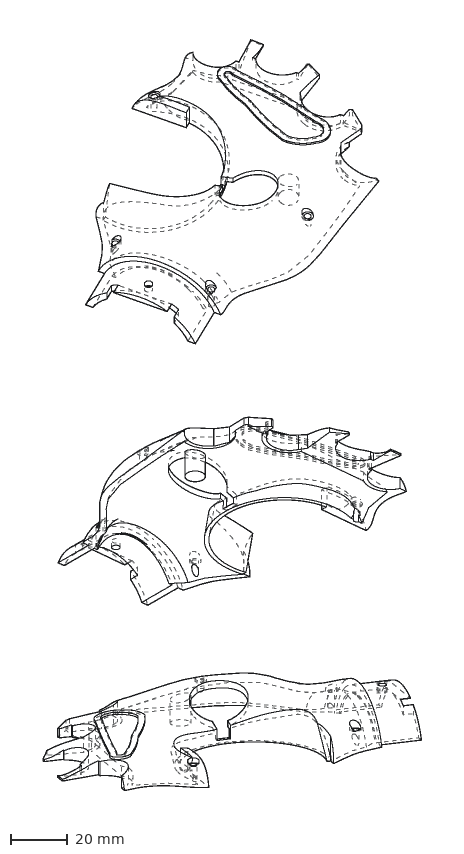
import cadquery as cq

WRIST_AXIS_Z = -8.0
SLEEVE_RADIUS = 22.8
SLEEVE_BORE = 20.1
COLLAR_RADIUS = 25.0
SLEEVE_LENGTH = 15.9
SLEEVE_OVERLAP = 0.7
PIN_HOLE_RADIUS = 1.5
PIN_HOLE_Y = 6.7
NOTCH_CENTERS = (-11.7, 11.7)
NOTCH_WIDTH = 2.7
NOTCH_DEPTH = 3.8
TONGUE_FLAT_Z = 12.1

WALL = 2.7
HAND_LENGTH = 134.7
HEADROOM = 53.9
SIDE_LIMIT = 53.9

SECTIONS = [
    (20.9, [(-25.0, 0), (-21.4, 7.1), (-12.8, 13.6), (0, 16.3), (12.5, 13.9), (20.7, 7.3), (24.3, 0)]),
    (27.0, [(-27.4, 0), (-23.2, 7.3), (-14.0, 12.4), (0, 14.5), (14.0, 13.1), (22.4, 7.5), (26.3, 0)]),
    (32.3, [(-30.7, 0), (-27.0, 7.8), (-17.5, 12.4), (0, 13.5), (16.8, 13.2), (27.0, 7.5), (30.9, 0)]),
    (38.3, [(-35.0, 0), (-31.5, 9.7), (-21.5, 14.3), (0, 13.2), (18.9, 14.8), (31.7, 8.9), (36.4, 0)]),
    (43.7, [(-37.7, 0), (-34.4, 13.5), (-24.3, 16.0), (0, 13.0), (21.5, 16.0), (35.0, 10.0), (40.3, 0)]),
    (53.9, [(-40.4, 0), (-35.0, 9.4), (-21.5, 11.6), (0, 10.8), (23.6, 16.0), (37.7, 11.3), (43.5, 0)]),
    (67.4, [(-43.1, 0), (-37.7, 4.3), (-21.5, 5.7), (0, 6.2), (23.6, 15.1), (39.1, 10.8), (45.0, 0)]),
    (78.1, [(-43.1, 0), (-39.1, 4.6), (-22.9, 6.2), (0, 6.7), (24.3, 12.4), (39.7, 9.0), (46.3, 0)]),
    (90.3, [(-44.3, 0), (-40.4, 6.6), (-24.3, 8.4), (0, 8.5), (24.3, 8.8), (40.4, 6.6), (47.8, 0)]),
    (101.0, [(-38.3, 0), (-35.0, 5.8), (-21.5, 7.7), (0, 8.1), (21.5, 7.1), (37.7, 5.1), (49.0, 0)]),
    (113.2, [(-36.4, 0), (-33.7, 4.5), (-20.2, 6.2), (0, 6.6), (21.5, 5.0), (37.7, 3.1), (49.0, 0)]),
    (124.0, [(-35.3, 0), (-33.1, 3.2), (-20.2, 4.3), (0, 4.3), (21.5, 2.8), (37.7, 1.8), (49.0, 0)]),
    (134.7, [(-35.3, 0), (-33.1, 0.7), (-20.2, 0.8), (0, 0.8), (21.5, 0.7), (37.7, 0.5), (49.0, 0)]),
]
CAVITY_END_Y = 113.2

FINGER_CENTERS = [(-26.8, 121.4), (-5.5, 128.3), (17.2, 117.1), (40.5, 99.8)]
FINGER_RADIUS = 8.2
FINGER_WALL = 1.6

THUMB_CENTER = (-26.1, 65.2)
THUMB_RADIUS = 25.5
THUMB_WALL = 1.6
THUMB_LEAN = 14.0
THUMB_LIP_X = -32.0
THUMB_LIP_Y = 38.4

PALM_HOLE_CENTER = (12.5, 63.6)
PALM_HOLE_RADIUS = 10.4
BREAK_Y = (64.1, 69.3)
BREAK_BOTTOM = 1.6

POST_POINT = (23.2, 74.0)
POST_RADIUS = 3.6
POST_BOTTOM = 1.3

PLATE_Y = (88.9, 91.6)
PLATE_X = (-44.9, -23.5)

SCREW_POINTS = [(-37.3, 92.0), (36.5, 61.3), (-21.3, 24.9), (18.7, 18.9)]
SCREW_RADIUS = 1.2
HEAD_RADIUS = 2.0
HEAD_DEPTH = 1.3

RIDGE_WIDTH = 2.4
RIDGE_HEIGHT = 0.8


def half_disc_points(radius):
    """Seven points along the part of the wrist circle above the parting plane."""
    reach = (radius**2 - WRIST_AXIS_Z**2) ** 0.5
    points = []
    for share in (-1, -0.85, -0.5, 0, 0.5, 0.85, 1):
        x = share * reach
        points.append((x, (radius**2 - x**2) ** 0.5 + WRIST_AXIS_Z))
    return points


def section_wire(y, points):
    """Closed section at one station: a curved crown closed by a straight base."""
    crown = cq.Edge.makeSpline([cq.Vector(x, y, z) for x, z in points])
    base = cq.Edge.makeLine(crown.endPoint(), crown.startPoint())
    return cq.Wire.assembleEdges([crown, base])


def shrink(points, wall):
    """Section points moved inward by the wall thickness."""
    left, right = points[0][0], points[-1][0]
    middle = (left + right) / 2
    ratio = 1 - 2 * wall / (right - left)
    return [(middle + (x - middle) * ratio, z - wall) for x, z in points]


def make_outer():
    stations = [(SLEEVE_LENGTH, half_disc_points(COLLAR_RADIUS))] + SECTIONS
    return cq.Workplane(cq.Solid.makeLoft([section_wire(y, p) for y, p in stations]))


def make_cavity():
    collar = shrink(half_disc_points(COLLAR_RADIUS), COLLAR_RADIUS - SLEEVE_BORE)
    wires = [section_wire(SLEEVE_LENGTH, collar)]
    for y, points in SECTIONS:
        if y <= CAVITY_END_Y:
            wires.append(section_wire(y, shrink(points, WALL)))
    return cq.Workplane(cq.Solid.makeLoft(wires, ruled=True))


def prism(x_range, y_range, z_range):
    size = [high - low for low, high in (x_range, y_range, z_range)]
    corner = (x_range[0], y_range[0], z_range[0])
    return cq.Workplane("XY").box(*size, centered=False).translate(corner)


def pillars(points, radius, bottom=0.0):
    """Upright cylinders of one radius at the given plan points."""
    return cq.Workplane("XY").workplane(offset=bottom).pushPoints(points).circle(radius).extrude(HEADROOM)


def thumb_cylinder(radius):
    """Leaning cylinder centred on the thumb opening, long enough to pass through the shell."""
    cylinder = cq.Workplane("XY").workplane(offset=-HEADROOM).circle(radius).extrude(2 * HEADROOM)
    return cylinder.rotate((0, 0, 0), (1, 0, 0), -THUMB_LEAN).translate(THUMB_CENTER)


def make_outline():
    """Plan outline with the prongs between the fingers and the thumb side."""
    return (
        cq.Workplane("XY")
        .moveTo(-SIDE_LIMIT, SLEEVE_LENGTH)
        .lineTo(SIDE_LIMIT, SLEEVE_LENGTH)
        .lineTo(SIDE_LIMIT, 95.3)
        .lineTo(33.4, 95.3)
        .lineTo(31.1, 100.8)
        .lineTo(34.1, 111.7)
        .lineTo(33.4, 113.3)
        .lineTo(27.4, 118.7)
        .lineTo(26.3, 118.3)
        .lineTo(26.0, 114.0)
        .lineTo(9.8, 113.5)
        .lineTo(8.1, 116.3)
        .lineTo(9.5, 129.5)
        .lineTo(3.9, 133.1)
        .lineTo(3.1, 132.8)
        .lineTo(3.1, 125.7)
        .lineTo(-14.7, 125.7)
        .lineTo(-14.7, HAND_LENGTH)
        .lineTo(-19.7, HAND_LENGTH)
        .lineTo(-17.5, 120.3)
        .lineTo(-19.1, 120.2)
        .lineTo(-34.1, 118.0)
        .lineTo(-SIDE_LIMIT, 118.0)
        .lineTo(-SIDE_LIMIT, PLATE_Y[0])
        .lineTo(PLATE_X[1], PLATE_Y[0])
        .lineTo(PLATE_X[1], THUMB_CENTER[1])
        .lineTo(THUMB_LIP_X, THUMB_CENTER[1])
        .lineTo(THUMB_LIP_X, THUMB_LIP_Y)
        .lineTo(-SIDE_LIMIT, THUMB_LIP_Y)
        .close()
        .extrude(HEADROOM)
    )


def surface_height(outer, x, y):
    """Height of the outer surface above a plan point."""
    probe = cq.Edge.makeLine(cq.Vector(x, y, 0), cq.Vector(x, y, HEADROOM))
    return probe.intersect(outer.val()).BoundingBox().zmax


def ridge_loop(offset):
    """Prism inside the bead's middle line, grown outward by the offset."""
    return (
        cq.Workplane("XY")
        .moveTo(-16.2, 114.1)
        .threePointArc((1.5, 110.7), (19.7, 106.2))
        .threePointArc((25.0, 101.9), (22.9, 96.7))
        .threePointArc((19.1, 93.6), (13.2, 92.4))
        .threePointArc((5.5, 95.5), (-5.7, 102.1))
        .threePointArc((-12.7, 105.5), (-18.9, 109.7))
        .threePointArc((-20.5, 112.8), (-16.2, 114.1))
        .close()
        .offset2D(offset)
        .extrude(HEADROOM)
    )


def add_ridge(hand):
    """Bead around the knuckle pad: a ring of the shell itself, raised above its surface."""
    band = ridge_loop(RIDGE_WIDTH / 2).cut(ridge_loop(-RIDGE_WIDTH / 2))
    raised_shell = hand.translate((0, 0, RIDGE_HEIGHT))
    return hand.union(raised_shell.intersect(band))


def make_sleeve():
    wrist = cq.Workplane("XZ").center(0, WRIST_AXIS_Z)
    sleeve = wrist.circle(SLEEVE_RADIUS).circle(SLEEVE_BORE).extrude(-SLEEVE_LENGTH - SLEEVE_OVERLAP)
    sleeve = sleeve.intersect(prism((-SIDE_LIMIT, SIDE_LIMIT), (0, HAND_LENGTH), (0, HEADROOM)))
    for x in NOTCH_CENTERS:
        half = NOTCH_WIDTH / 2
        sleeve = sleeve.cut(prism((x - half, x + half), (0, NOTCH_DEPTH), (0, HEADROOM)))
    sleeve = sleeve.cut(prism(NOTCH_CENTERS, (0, NOTCH_DEPTH), (0, TONGUE_FLAT_Z)))
    return sleeve.cut(pillars([(0, PIN_HOLE_Y)], PIN_HOLE_RADIUS))


def make_hollow():
    """Cavity of the shell, less the plate, walls and post that stand inside it."""
    hollow = make_cavity().cut(prism(PLATE_X, PLATE_Y, (-HEADROOM, HEADROOM)))
    hollow = hollow.cut(thumb_cylinder(THUMB_RADIUS + THUMB_WALL))
    hollow = hollow.cut(pillars([POST_POINT], POST_RADIUS, POST_BOTTOM))
    return hollow.cut(pillars(FINGER_CENTERS, FINGER_RADIUS + FINGER_WALL))


def make_openings():
    """Thumb opening around its plate, finger scallops, and palm hole with its break."""
    plate = prism(PLATE_X, PLATE_Y, (-HEADROOM, HEADROOM))
    break_x = (THUMB_CENTER[0], PALM_HOLE_CENTER[0])
    openings = thumb_cylinder(THUMB_RADIUS).cut(plate)
    openings = openings.union(pillars(FINGER_CENTERS, FINGER_RADIUS))
    openings = openings.union(pillars([PALM_HOLE_CENTER], PALM_HOLE_RADIUS))
    return openings.union(prism(break_x, BREAK_Y, (BREAK_BOTTOM, HEADROOM)))


def make_screw_holes(outer):
    """Through holes with a wider seat for each screw head."""
    holes = pillars(SCREW_POINTS, SCREW_RADIUS)
    for x, y in SCREW_POINTS:
        seat = surface_height(outer, x, y) - HEAD_DEPTH
        holes = holes.union(pillars([(x, y)], HEAD_RADIUS, seat))
    return holes


def make_hand():
    outer = make_outer()
    hand = outer.intersect(make_outline()).cut(make_hollow())
    hand = add_ridge(hand)
    return hand.cut(make_openings()).cut(make_screw_holes(outer))


result = make_hand().union(make_sleeve())